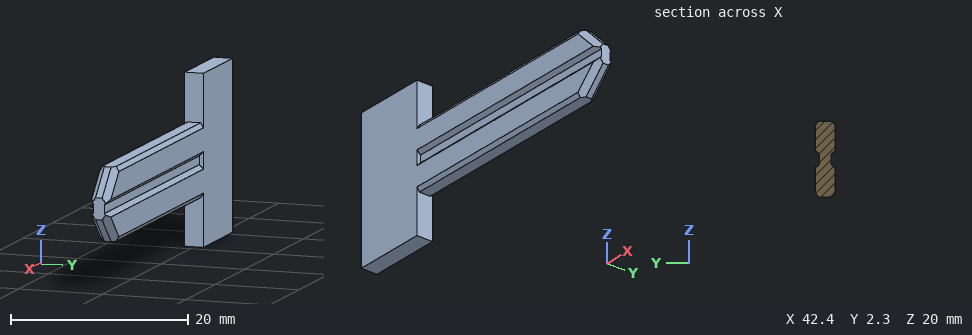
import cadquery as cq

total_length = 42.35
thickness = 2.3
head_length = 10.0
head_height = 20.0

blade_height = 8.6
edge_bevel_height = 0.55
edge_bevel_depth = 0.35
groove_mouth_width = 2.0
groove_floor_width = 1.0
groove_depth = 0.5

tip_end_height = 2.5
tip_bevel = 0.75

half_thickness = thickness / 2
half_blade = blade_height / 2
blade_length = total_length - head_length


def make_head():
    """Rectangular grip plate."""
    return cq.Workplane("XY").box(head_length, thickness, head_height, centered=(False, True, True))


def make_blade_bar():
    """Straight blade with beveled long edges and a trapezoidal groove in each side."""
    flat_half = half_blade - edge_bevel_height
    edge_half = half_thickness - edge_bevel_depth
    mouth_half = groove_mouth_width / 2
    floor_half = groove_floor_width / 2
    floor_y = half_thickness - groove_depth
    side = [
        (edge_half, half_blade),
        (half_thickness, flat_half),
        (half_thickness, mouth_half),
        (floor_y, floor_half),
        (floor_y, -floor_half),
        (half_thickness, -mouth_half),
        (half_thickness, -flat_half),
        (edge_half, -half_blade),
    ]
    opposite_side = [(-y, -z) for y, z in side]
    section = cq.Workplane("YZ", origin=(head_length, 0, 0)).polyline(side + opposite_side).close()
    return section.extrude(blade_length)


def make_tip_envelope():
    """Plate with a sharp 90 degree point that trims the blade; its sloping edges are beveled."""
    flank_length = (blade_height - tip_end_height) / 2
    shoulder_x = total_length - flank_length
    point_x = shoulder_x + half_blade
    plate = (
        cq.Workplane("XZ")
        .moveTo(head_length, half_blade)
        .lineTo(shoulder_x, half_blade)
        .lineTo(point_x, 0)
        .lineTo(shoulder_x, -half_blade)
        .lineTo(head_length, -half_blade)
        .close()
        .extrude(half_thickness, both=True)
    )
    upper_edges = cq.selectors.ParallelDirSelector(cq.Vector(1, 0, -1))
    lower_edges = cq.selectors.ParallelDirSelector(cq.Vector(1, 0, 1))
    return plate.edges(upper_edges + lower_edges).chamfer(tip_bevel)


blade = make_blade_bar().intersect(make_tip_envelope())
result = make_head().union(blade)